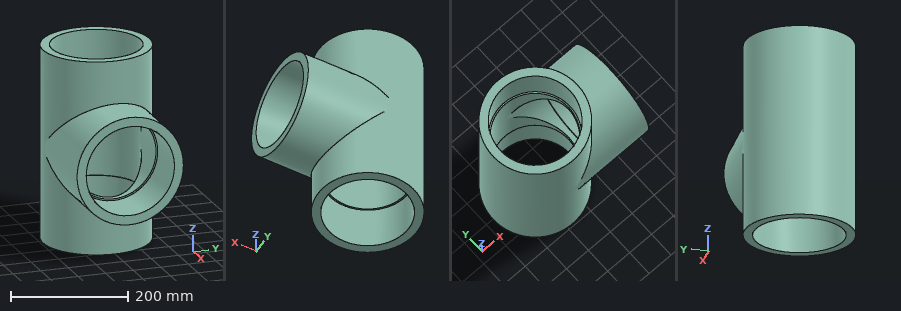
import cadquery as cq

run_length = 348.0
branch_reach = run_length / 2
outer_diameter = 193.0
socket_diameter = 160.0
bore_diameter = 154.0
socket_depth = 86.0


def tee(diameter):
    """Solid tee of one diameter, reaching all three end faces."""
    run = cq.Workplane("XY").circle(diameter / 2).extrude(run_length / 2, both=True)
    branch = cq.Workplane("YZ").circle(diameter / 2).extrude(branch_reach)
    return run.union(branch)


def socket(plane, end_offset):
    """Socket cutter reaching from an end face toward the tee centre."""
    inward = -socket_depth if end_offset > 0 else socket_depth
    return cq.Workplane(plane).workplane(offset=end_offset).circle(socket_diameter / 2).extrude(inward)


result = tee(outer_diameter).cut(tee(bore_diameter))

for plane, end_offset in (
    ("XY", run_length / 2),
    ("XY", -run_length / 2),
    ("YZ", branch_reach),
):
    result = result.cut(socket(plane, end_offset))